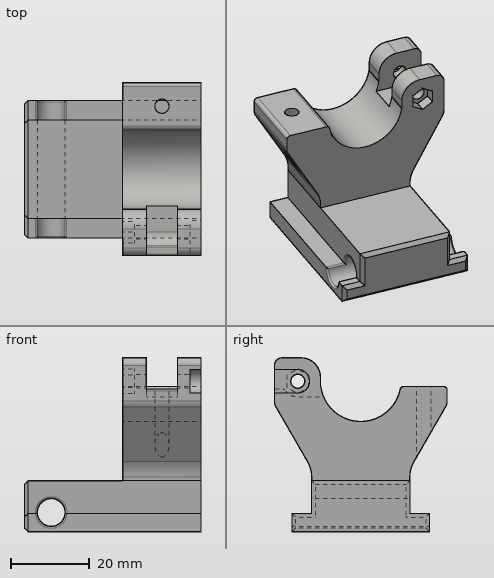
import cadquery as cq
import math

base_length = 45.0
base_height = 13.0
core_width = 25.1
flange_width = 35.1
flange_height = 4.7
end_chamfer = 1.0

pin_hole_x = 6.85
pin_hole_z = 4.9
pin_hole_diameter = 7.0
pin_hole_round = 0.5

cradle_length = 20.0
cradle_width = 44.0
neck_width = 25.0
cradle_top = 44.3
shoulder_top = 37.0
flare_angle = 30.0
flare_start_z = 16.0
flare_lower_radius = 8.0
flare_upper_radius = 3.0
saddle_radius = 10.2
shoulder_round = 1.0

hinge_to_edge = 6.0
post_inner_round = 5.0
post_outer_round = 2.0
pivot_diameter = 3.5
slot_width = 7.9
knuckle_radius = 4.0
lip_drop = 2.0
lip_round = 0.5
nut_flats = 5.5
nut_depth = 3.0
head_diameter = 6.0
head_depth = 2.9

screw_diameter = 3.6

core_edge = core_width / 2
cradle_edge = cradle_width / 2
neck_edge = neck_width / 2
cradle_start = base_length - cradle_length
cradle_middle = base_length - cradle_length / 2
flare_end_z = flare_start_z + (cradle_edge - neck_edge) / math.tan(math.radians(flare_angle))
hinge_y = hinge_to_edge - cradle_edge
hinge_z = cradle_top - hinge_to_edge
screw_y = -hinge_y
lip_z = hinge_z - lip_drop
floor_z = hinge_z - knuckle_radius


def rod(x, y, z, diameter, length):
    """Cylinder along X that starts at the given point."""
    return cq.Workplane("YZ", origin=(x, y, z)).circle(diameter / 2).extrude(length)


def block(x0, x1, y0, y1, z0, z1):
    """Box between two corners."""
    return cq.Workplane("XY").box(x1 - x0, y1 - y0, z1 - z0, centered=False).translate((x0, y0, z0))


def round_edge(body, y, z, radius):
    """Fillet the edge along X that passes closest to (y, z) at mid-length of the cradle."""
    edge = cq.selectors.NearestToPointSelector((cradle_middle, y, z))
    return body.edges("|X").edges(edge).fillet(radius)


def cut_pin_hole(base):
    """Hole through the base along Y, open at the top where it crosses the flanges, with its rim rounded."""
    hole = (
        cq.Workplane("XZ", origin=(pin_hole_x, 0, pin_hole_z))
        .circle(pin_hole_diameter / 2)
        .extrude(flange_width / 2, both=True)
    )
    return base.cut(hole).faces("%CYLINDER").edges().fillet(pin_hole_round)


def make_base():
    """Inverted-T rail with a chamfered front end and a cross-pin hole."""
    flange = block(0, base_length, -flange_width / 2, flange_width / 2, 0, flange_height)
    core = block(0, base_length, -core_edge, core_edge, 0, base_height)
    base = flange.union(core).faces("<X").chamfer(end_chamfer)
    return cut_pin_hole(base)


def cradle_body():
    """Flared upright with the saddle cut out and its outline rounded."""
    outline = [
        (neck_edge, base_height),
        (neck_edge, flare_start_z),
        (cradle_edge, flare_end_z),
        (cradle_edge, shoulder_top),
        (-saddle_radius, shoulder_top),
        (-saddle_radius, cradle_top),
        (-cradle_edge, cradle_top),
        (-cradle_edge, flare_end_z),
        (-neck_edge, flare_start_z),
        (-neck_edge, base_height),
    ]
    upright = cq.Workplane("YZ", origin=(cradle_start, 0, 0)).polyline(outline).close()
    body = upright.extrude(cradle_length)
    body = body.cut(rod(cradle_start, 0, hinge_z, 2 * saddle_radius, cradle_length))
    for side in (-1, 1):
        body = round_edge(body, side * neck_edge, flare_start_z, flare_lower_radius)
        body = round_edge(body, side * cradle_edge, flare_end_z, flare_upper_radius)
    saddle_rim_y = math.sqrt(saddle_radius**2 - (hinge_z - shoulder_top) ** 2)
    body = round_edge(body, cradle_edge, shoulder_top, shoulder_round)
    body = round_edge(body, saddle_rim_y, shoulder_top, shoulder_round)
    body = round_edge(body, -saddle_radius, cradle_top, post_inner_round)
    return round_edge(body, -cradle_edge, cradle_top, post_outer_round)


def cut_hinge_slot(body):
    """Slot that splits the post into two ears, with a round seat for the knuckle and a lip outside it."""
    x0 = cradle_middle - slot_width / 2
    x1 = cradle_middle + slot_width / 2
    body = body.cut(rod(x0, hinge_y, hinge_z, 2 * knuckle_radius, slot_width))
    body = body.cut(block(x0, x1, hinge_y, 0, floor_z, cradle_top))
    body = body.cut(block(x0, x1, -cradle_edge, hinge_y, lip_z, cradle_top))
    lip_inner_y = hinge_y - math.sqrt(knuckle_radius**2 - lip_drop**2)
    for y in (-cradle_edge, lip_inner_y):
        body = round_edge(body, y, lip_z, lip_round)
    return body


def cut_pivot(body):
    """Pivot hole with a hexagonal nut pocket at one end and an open-sided screw-head seat at the other."""
    body = body.cut(rod(cradle_start, hinge_y, hinge_z, pivot_diameter, cradle_length))
    hex_turn = 30.0
    nut_corners = nut_flats / math.cos(math.radians(hex_turn))
    nut = (
        cq.Workplane("YZ", origin=(cradle_start, hinge_y, hinge_z))
        .transformed(rotate=(0, 0, hex_turn))
        .polygon(6, nut_corners)
        .extrude(nut_depth)
    )
    head_x = base_length - head_depth
    head_radius = head_diameter / 2
    head = rod(head_x, hinge_y, hinge_z, head_diameter, head_depth)
    head_opening = block(
        head_x, base_length, -cradle_edge, hinge_y, hinge_z - head_radius, hinge_z + head_radius
    )
    return body.cut(nut).cut(head).cut(head_opening)


def cut_shoulder_screw(body):
    """Vertical hole from the shoulder top out through the flared side."""
    depth = shoulder_top - base_height
    hole = (
        cq.Workplane("XY", origin=(cradle_middle, screw_y, base_height))
        .circle(screw_diameter / 2)
        .extrude(depth)
    )
    return body.cut(hole)


base = make_base()
cradle = cut_shoulder_screw(cut_pivot(cut_hinge_slot(cradle_body())))

result = cq.Compound.makeCompound([base.val(), cradle.val()])